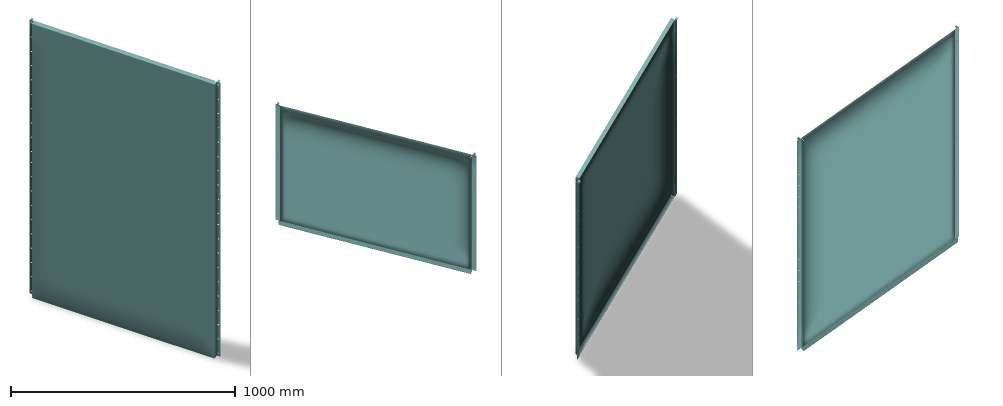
import cadquery as cq

total_width = 925.0
total_depth = 30.0
total_height = 1923.0

sheet = 2.0
inner_bend = 2.0
outer_bend = inner_bend + sheet
tray_width = 886.0
tray_depth = 21.0
top_clearance = 1.0
front_y = -total_depth / 2
back_y = front_y + tray_depth
bottom_z = -total_height / 2
top_z = total_height / 2
tray_top_z = top_z - top_clearance
flange_front_y = back_y - sheet

flange_height = 1915.0
outer_x = total_width / 2
wall_x = tray_width / 2

hole_diameter = 8.0
hole_pitch = 100.0
holes_per_group = 10
end_hole_z = 938.0
hole_x = 452.0

hook_width = 10.0
hook_root = 8.0


def make_tray():
    """Front sheet bent backwards into four returns; the corners are relieved where returns meet."""
    tray_height = tray_top_z - bottom_z
    block = cq.Workplane("XY").box(tray_width, tray_depth - sheet, tray_height, centered=(True, False, False))
    block = block.translate((0, front_y, bottom_z))
    tray = block.faces("<Y").edges().fillet(outer_bend).faces(">Y").shell(-sheet)

    return_span = tray_width - 2 * outer_bend
    envelope = cq.Workplane("XY").box(return_span, 2 * total_depth, 2 * total_height)
    envelope = envelope.union(cq.Workplane("XY").box(total_width, 2 * total_depth, flange_height))
    return tray.intersect(envelope)


def make_flange():
    """Right-hand flange across the back edge of the side return."""
    flange = cq.Workplane("XY").box(
        outer_x - wall_x + sheet, sheet, flange_height, centered=(False, False, True)
    )
    return flange.translate((wall_x - sheet, flange_front_y, 0))


def make_hook():
    """Right-hand hook: an upright tab on the flange with its top bent backwards."""
    profile = (
        cq.Workplane("YZ", origin=(hole_x - hook_width / 2, 0, 0))
        .moveTo(flange_front_y, top_z - hook_root)
        .lineTo(flange_front_y, top_z)
        .lineTo(total_depth / 2, top_z)
        .lineTo(total_depth / 2, top_z - sheet)
        .lineTo(back_y, top_z - sheet)
        .lineTo(back_y, top_z - hook_root)
        .close()
    )
    return profile.extrude(hook_width)


def make_hole_tools():
    """Cylinders through the right-hand flange."""
    points = []
    for step in range(holes_per_group):
        z = end_hole_z - step * hole_pitch
        points += [(hole_x, z), (hole_x, -z)]
    plane = cq.Workplane("XZ", origin=(0, back_y + sheet, 0))
    return plane.pushPoints(points).circle(hole_diameter / 2).extrude(3 * sheet)


side_strip = make_flange().cut(make_hole_tools()).union(make_hook())
result = make_tray().union(side_strip).union(side_strip.mirror("YZ"))